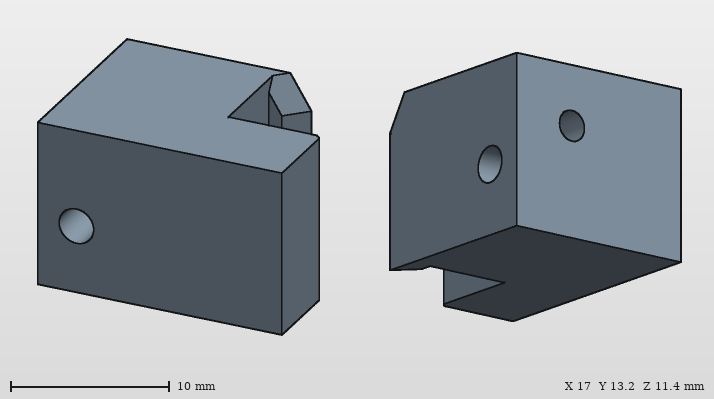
import cadquery as cq

length = 17.02
depth = 13.22
height = 11.35

body_length = 10.54
arm_depth = 5.84
arm_chamfer = 0.3

lip_reach = 2.31
lip_depth = 1.41
lip_bevel_run = 1.48
lip_bevel_drop = 2.38

y_hole_diameter = 2.4
y_hole_x = 2.7
y_hole_z = 4.65
x_hole_diameter = 2.0
x_hole_y = 8.78
x_hole_z = 7.35


def make_body():
    """L-shaped prism with the lip and the small chamfer on the arm end."""
    lip_tip_x = body_length + lip_reach
    outline = [
        (0, 0),
        (length, 0),
        (length, arm_depth - arm_chamfer),
        (length - arm_chamfer, arm_depth),
        (body_length, arm_depth),
        (body_length, depth - lip_depth),
        (lip_tip_x - lip_depth, depth - lip_depth),
        (lip_tip_x, depth),
        (0, depth),
    ]
    return cq.Workplane("XY").polyline(outline).close().extrude(height)


def make_lip_bevel():
    """Wedge that slopes the top of the lip down towards its 45 degree edge."""
    lip_tip_x = body_length + lip_reach
    wedge = (
        cq.Workplane("XZ", origin=(0, depth, 0))
        .moveTo(lip_tip_x - lip_bevel_run, height)
        .lineTo(lip_tip_x, height)
        .lineTo(lip_tip_x, height - lip_bevel_drop)
        .close()
    )
    path = cq.Workplane("XY").moveTo(lip_tip_x, depth).lineTo(lip_tip_x - depth, 0)
    sheared = cq.Solid.sweep(
        wedge.wires().val(), [], path.wire().val(), transitionMode="right"
    )
    lip_zone = cq.Workplane("XY").box(lip_reach, lip_depth, height, centered=False)
    lip_zone = lip_zone.translate((body_length, depth - lip_depth, 0))
    return lip_zone.intersect(cq.Workplane(sheared))


def make_holes():
    """Bores through the body along Y and along X."""
    y_hole = (
        cq.Workplane("XZ", origin=(y_hole_x, 0, y_hole_z))
        .circle(y_hole_diameter / 2)
        .extrude(-depth)
    )
    x_hole = (
        cq.Workplane("YZ", origin=(0, x_hole_y, x_hole_z))
        .circle(x_hole_diameter / 2)
        .extrude(body_length)
    )
    return y_hole.union(x_hole)


result = make_body().cut(make_lip_bevel()).cut(make_holes())